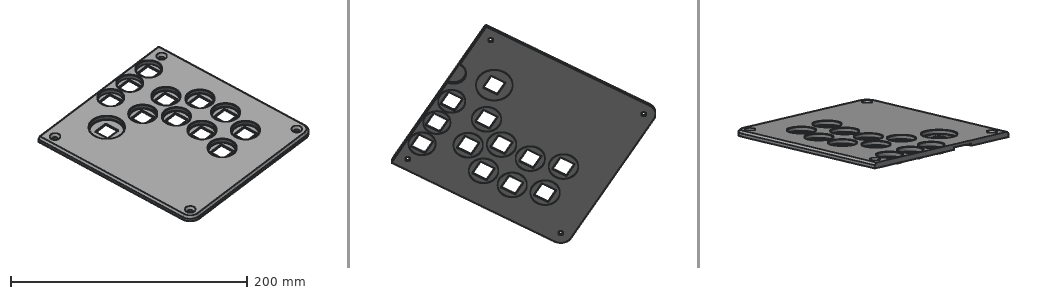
import cadquery as cq

length = 170.0
width = 160.0
total_height = 5.6
corner_radius = 10.0
edge_chamfer = 2.0

pad_drop = 0.7
pad_margin = 0.5

floor_thickness = 1.5
rim_bevel = 0.5
large_well_floor_bevel = 0.5
window_side = 14.0
small_well_diameter = 22.1
key_well_diameter = 24.0
thumb_well_diameter = 30.1

small_well_x = 12.5
small_well_top_y = 130.0
small_well_pitch = 25.0
small_well_count = 3
upper_key_centers = [(47.1, 111.7), (71.4, 127.7), (99.6, 127.8), (127.7, 120.7)]
lower_key_centers = [(47.3, 81.1), (71.2, 96.9), (99.5, 97.0), (127.8, 90.0)]
thumb_center = (35.5, 47.8)

screw_diameter = 4.5
screw_head_diameter = 9.0
screw_head_angle = 90.0
screw_inset = 10.0

notch_diameter = 20.0
notch_height = 2.0
notch_bevel = 0.5
notch_center_y = 54.9

small_centers = [(small_well_x, small_well_top_y - i * small_well_pitch) for i in range(small_well_count)]
well_groups = [
    (small_well_diameter, 0, small_centers),
    (key_well_diameter, large_well_floor_bevel, upper_key_centers + lower_key_centers),
    (thumb_well_diameter, large_well_floor_bevel, [thumb_center]),
]


def make_plate():
    """Plate with rounded right corners, bevelled along every top edge but the left one."""
    plate = cq.Workplane("XY", origin=(0, 0, pad_drop))
    plate = plate.box(length, width, total_height - pad_drop, centered=False)
    plate = plate.edges("|Z and >X").fillet(corner_radius)
    return plate.faces(">Z").edges("not <X").chamfer(edge_chamfer)


def cut_notch(body):
    """Half-round notch that flares at its lower edge."""
    radius = notch_diameter / 2
    notch = cq.Workplane("XY", origin=(0, notch_center_y, pad_drop)).circle(radius).extrude(notch_height)
    flare = cq.Solid.makeCone(radius + notch_bevel, radius, notch_bevel, pnt=(0, notch_center_y, pad_drop))
    return body.cut(notch).cut(cq.Workplane(flare))


def make_pads(diameter, centers):
    """Round pads that carry the well floors just below the underside."""
    pad_radius = diameter / 2 + pad_margin
    return cq.Workplane("XY").pushPoints(centers).circle(pad_radius).extrude(floor_thickness)


def make_well(diameter, floor_bevel):
    """Solid to remove for one well on the Z axis: recess, bevelled rim and square window."""
    radius = diameter / 2
    depth = total_height - floor_thickness
    recess = cq.Workplane("XY", origin=(0, 0, floor_thickness)).circle(radius).extrude(depth)
    if floor_bevel > 0:
        recess = recess.faces("<Z").chamfer(floor_bevel)
    rim = cq.Solid.makeCone(radius, radius + rim_bevel, rim_bevel, pnt=(0, 0, total_height - rim_bevel))
    window = cq.Workplane("XY").rect(window_side, window_side).extrude(total_height)
    return recess.union(cq.Workplane(rim)).union(window)


def cut_screw_holes(body):
    """Countersunk hole near each corner."""
    corners = [
        (x, y)
        for x in (screw_inset, length - screw_inset)
        for y in (screw_inset, width - screw_inset)
    ]
    top = body.faces(">Z").workplane(origin=(0, 0, total_height))
    return top.pushPoints(corners).cskHole(screw_diameter, screw_head_diameter, screw_head_angle)


body = cut_notch(make_plate())
for diameter, floor_bevel, centers in well_groups:
    body = body.union(make_pads(diameter, centers))
for diameter, floor_bevel, centers in well_groups:
    well = make_well(diameter, floor_bevel)
    for center in centers:
        body = body.cut(well.translate(center))
result = cut_screw_holes(body)